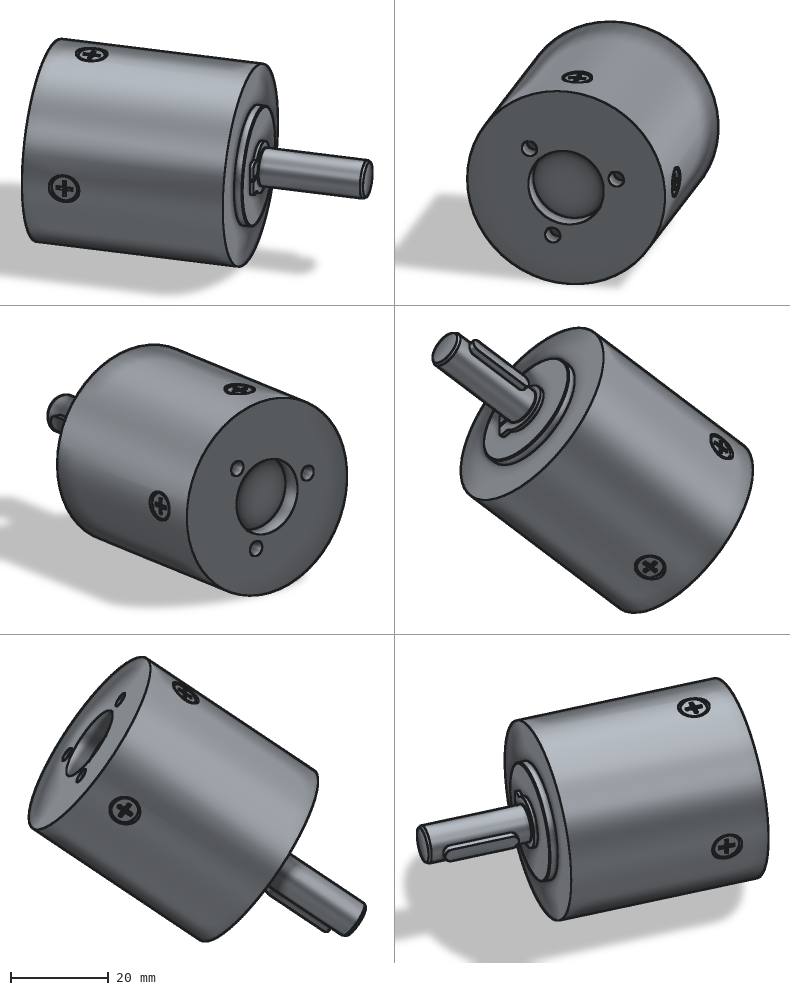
import cadquery as cq
import math

HOUSING_DIAMETER = 42.0
HOUSING_RADIUS = HOUSING_DIAMETER / 2
HOUSING_LENGTH = 42.8
SHAFT_PROJECTION = 25.0
SHAFT_END = HOUSING_LENGTH + SHAFT_PROJECTION

COLLAR_DIAMETER = 25.0
COLLAR_LENGTH = 1.8
COLLAR_CHAMFER = 0.2
COLLAR_END = HOUSING_LENGTH + COLLAR_LENGTH

SHAFT_DIAMETER = 8.0
SHAFT_CHAMFER_LENGTH = 0.6
SHAFT_CHAMFER_DEPTH = 0.35

GROOVE_DIAMETER = 7.6
GROOVE_WIDTH = 1.0
RING_THICKNESS = 0.8
RING_DIAMETER = 10.8
RING_OFFSET = -0.2
RING_GAP = 0.5
LUG_REACH = 6.9
LUG_SPAN = 7.0
LUG_CORNER_RADIUS = 0.8

KEY_LENGTH = 16.0
KEY_WIDTH = 3.0
KEY_HEIGHT = 3.0
KEY_PROTRUSION = 1.2
KEY_TOP = SHAFT_DIAMETER / 2 + KEY_PROTRUSION
KEY_END_MARGIN = 3.1
KEY_CENTER_X = SHAFT_END - KEY_END_MARGIN - KEY_LENGTH / 2

RECESS_DIAMETER = 16.0
RECESS_DEPTH = 4.0
MOUNT_HOLE_DIAMETER = 3.2
MOUNT_HOLE_DEPTH = RECESS_DEPTH
MOUNT_HOLE_CIRCLE_RADIUS = 11.0
MOUNT_HOLE_COUNT = 3
MOUNT_HOLE_START_ANGLE = 45.0

SCREW_COUNT = 4
SCREW_X = 9.0
SCREW_HEAD_DIAMETER = 5.5
SCREW_HEAD_SINK = 0.25
COUNTERSINK_DIAMETER = 6.5
CROSS_LENGTH = 3.4
CROSS_FLOOR_LENGTH = 1.9
CROSS_WIDTH = 0.6
CROSS_FLOOR_WIDTH = 0.35
CROSS_DEPTH = 1.0


def cylinder_x(diameter, start, length):
    """Cylinder on the X axis."""
    return cq.Workplane("YZ").workplane(offset=start).circle(diameter / 2).extrude(length)


def make_shaft():
    shaft = cylinder_x(SHAFT_DIAMETER, HOUSING_LENGTH, SHAFT_PROJECTION)
    shaft = shaft.faces(">X").chamfer(SHAFT_CHAMFER_LENGTH, SHAFT_CHAMFER_DEPTH)
    groove = cylinder_x(SHAFT_DIAMETER, COLLAR_END, GROOVE_WIDTH)
    groove = groove.cut(cylinder_x(GROOVE_DIAMETER, COLLAR_END, GROOVE_WIDTH))
    return shaft.cut(groove)


def make_retaining_ring():
    """Ring, slightly off the shaft axis, with two lugs and a gap on the -Y side."""
    ring = cylinder_x(RING_DIAMETER, COLLAR_END, RING_THICKNESS).translate((0, RING_OFFSET, 0))
    lug_plane = cq.Workplane("YZ").workplane(offset=COLLAR_END).center(-LUG_REACH / 2, 0)
    lugs = lug_plane.rect(LUG_REACH, LUG_SPAN).extrude(RING_THICKNESS)
    lugs = lugs.edges("|X and <Y").fillet(LUG_CORNER_RADIUS)
    gap = lug_plane.rect(LUG_REACH, RING_GAP).extrude(RING_THICKNESS)
    return ring.union(lugs).cut(gap)


def make_key():
    plane = cq.Workplane("XZ", origin=(KEY_CENTER_X, KEY_TOP, 0))
    return plane.slot2D(KEY_LENGTH, KEY_WIDTH).extrude(KEY_HEIGHT)


def cut_mounting_face(body):
    body = body.cut(cylinder_x(RECESS_DIAMETER, 0, RECESS_DEPTH))
    for index in range(MOUNT_HOLE_COUNT):
        angle = math.radians(MOUNT_HOLE_START_ANGLE + index * 360 / MOUNT_HOLE_COUNT)
        hole = cylinder_x(MOUNT_HOLE_DIAMETER, 0, MOUNT_HOLE_DEPTH)
        y = MOUNT_HOLE_CIRCLE_RADIUS * math.cos(angle)
        z = MOUNT_HOLE_CIRCLE_RADIUS * math.sin(angle)
        body = body.cut(hole.translate((0, y, z)))
    return body


def make_cross_arm():
    """One bar of the cross recess, along X, narrowing in both directions to its floor."""
    head_top = cq.Workplane("XY", origin=(0, 0, HOUSING_RADIUS - SCREW_HEAD_SINK))
    mouth = head_top.rect(CROSS_LENGTH, CROSS_WIDTH)
    floor = mouth.workplane(offset=-CROSS_DEPTH).rect(CROSS_FLOOR_LENGTH, CROSS_FLOOR_WIDTH)
    return floor.loft(ruled=True)


def make_screw_pocket():
    """Space around one screw head at the top (+Z): a 90 degree countersink and a cross recess."""
    head_radius = SCREW_HEAD_DIAMETER / 2
    countersink_radius = COUNTERSINK_DIAMETER / 2
    countersink_depth = countersink_radius - head_radius
    cone = cq.Solid.makeCone(
        head_radius,
        countersink_radius + countersink_depth,
        2 * countersink_depth,
        cq.Vector(0, 0, HOUSING_RADIUS - countersink_depth),
        cq.Vector(0, 0, 1),
    )
    head = cq.Workplane("XY").circle(head_radius).extrude(HOUSING_RADIUS - SCREW_HEAD_SINK)
    arm = make_cross_arm()
    crossing_arm = arm.rotate((0, 0, 0), (0, 0, 1), 90)
    pocket = cq.Workplane(cone).cut(head).union(arm).union(crossing_arm)
    return pocket.translate((SCREW_X, 0, 0))


def cut_screw_pockets(body):
    pocket = make_screw_pocket()
    for index in range(SCREW_COUNT):
        body = body.cut(pocket.rotate((0, 0, 0), (1, 0, 0), index * 360 / SCREW_COUNT))
    return body


housing = cylinder_x(HOUSING_DIAMETER, 0, HOUSING_LENGTH)
housing = cut_screw_pockets(cut_mounting_face(housing))
collar = cylinder_x(COLLAR_DIAMETER, HOUSING_LENGTH, COLLAR_LENGTH).faces(">X").chamfer(COLLAR_CHAMFER)

result = housing.union(collar).union(make_shaft()).union(make_retaining_ring()).union(make_key())